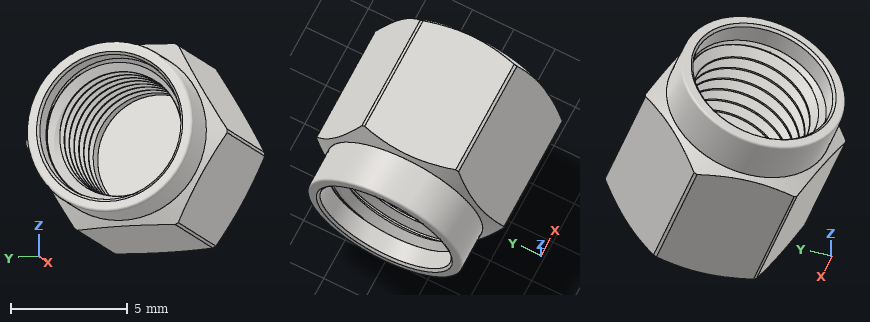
import cadquery as cq
import math


total_length = 8.4
collar_length = 1.98
collar_diameter = 7.49
collar_edge_radius = 0.125
hex_sides = 6
hex_across_flats = 7.94
hex_across_corners = 9.08
hex_chamfer_angle = 30.0

counterbore_diameter = 6.35
counterbore_depth = 1.0
mouth_chamfer = 0.115
bore_diameter = 5.4
bore_depth = 7.0

pitch = 25.4 / 36
flank_angle = 30.0
crest_flat = pitch / 8
groove_overlap = 0.02
root_clearance = 0.02
groove_start_x = 0.74
thread_runout = pitch

collar_radius = collar_diameter / 2
counterbore_radius = counterbore_diameter / 2
bore_radius = bore_diameter / 2
thread_root_radius = counterbore_radius - root_clearance
thread_depth = thread_root_radius - bore_radius
lead_in_length = counterbore_radius - bore_radius


def end_plane(x):
    """Plane across the axis at x, with local X along -Y and its normal along +X."""
    return cq.Plane(origin=(x, 0, 0), xDir=(0, -1, 0), normal=(1, 0, 0))


def revolve_about_axis(points):
    """Solid of revolution about X from (x, radius) points, swept from the -Y side."""
    section = [(x, -radius) for x, radius in points]
    return cq.Workplane("XY").polyline(section).close().revolve(360, (0, 0, 0), (1, 0, 0))


def make_collar():
    collar = cq.Workplane(end_plane(0)).circle(collar_radius).extrude(collar_length)
    return collar.faces("<X").edges().fillet(collar_edge_radius)


def make_hex():
    """Hexagon with flats on +Z and -Z, its corners turned and both ends chamfered."""
    corner_radius = hex_across_corners / 2
    chamfer_length = (corner_radius - collar_radius) * math.tan(math.radians(hex_chamfer_angle))
    sharp_corner_diameter = hex_across_flats / math.cos(math.pi / hex_sides)
    hex_length = total_length - collar_length
    hex_blank = cq.Workplane(end_plane(collar_length)).polygon(hex_sides, sharp_corner_diameter)
    prism = hex_blank.extrude(hex_length)
    turned_envelope = revolve_about_axis([
        (collar_length, 0),
        (collar_length, collar_radius),
        (collar_length + chamfer_length, corner_radius),
        (total_length - chamfer_length, corner_radius),
        (total_length, collar_radius),
        (total_length, 0),
    ])
    return prism.intersect(turned_envelope)


def make_bore():
    """Blind bore with a chamfered mouth, a counterbore and a 45 degree lead-in to the thread."""
    return revolve_about_axis([
        (0, 0),
        (0, counterbore_radius + mouth_chamfer),
        (mouth_chamfer, counterbore_radius),
        (counterbore_depth, counterbore_radius),
        (counterbore_depth + lead_in_length, bore_radius),
        (bore_depth, bore_radius),
        (bore_depth, 0),
    ])


def make_thread_groove():
    """Helical groove that starts in the open counterbore and stops before the bore floor."""
    flank_slope = math.tan(math.radians(flank_angle))
    root_half_width = (pitch - crest_flat) / 2 - thread_depth * flank_slope
    mouth_half_width = root_half_width + (thread_depth + groove_overlap) * flank_slope
    mouth_radius = bore_radius - groove_overlap
    groove_length = bore_depth - thread_runout - groove_start_x

    helix = cq.Wire.makeHelix(pitch, groove_length, bore_radius)
    path = helix.moved(cq.Location(end_plane(groove_start_x)))
    profile = cq.Workplane("XY").polyline([
        (groove_start_x - mouth_half_width, -mouth_radius),
        (groove_start_x - root_half_width, -thread_root_radius),
        (groove_start_x + root_half_width, -thread_root_radius),
        (groove_start_x + mouth_half_width, -mouth_radius),
    ]).close()
    return profile.sweep(cq.Workplane(path), isFrenet=True)


result = make_collar().union(make_hex()).cut(make_bore()).cut(make_thread_groove())